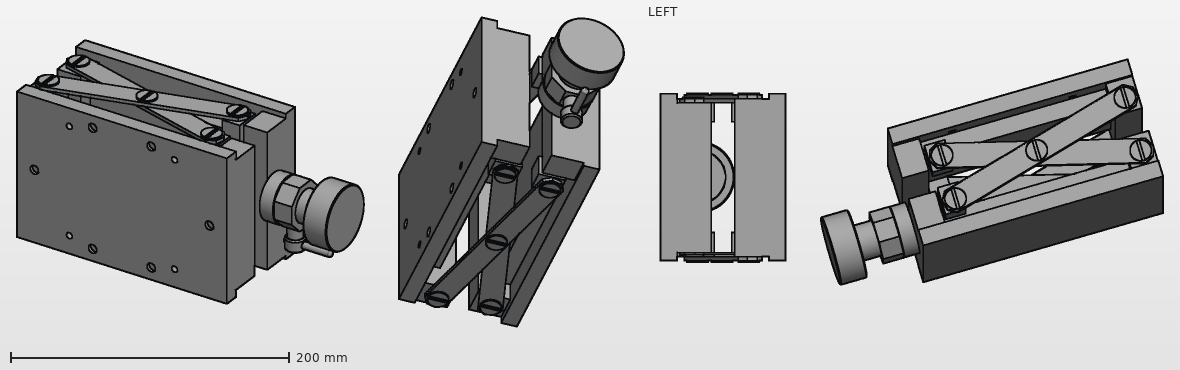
import cadquery as cq
import math


TOTAL_LENGTH = 241.0
TOTAL_WIDTH = 90.0
JAW_LENGTH = 179.8
JAW_HEIGHT = 120.0
JAW_OUTER_Y = TOTAL_WIDTH / 2
FLANGE_THICKNESS = 12.0
CORE_THICKNESS = 24.3
CORE_HALF_HEIGHT = 39.8
END_BLOCK_DEPTH = 36.6
END_BLOCK_LENGTH = 20.0

ARM_HALF_WIDTH = 9.0
ARM_THICKNESS = 3.0
LOWER_INNER_ARM_THICKNESS = 1.7
INNER_ARM_BASE_Z = 53.7
OUTER_ARM_BASE_Z = INNER_ARM_BASE_Z + ARM_THICKNESS
LINKAGE_Z = -0.5
FIXED_PIVOT_X = 10.0
SLIDING_PIVOT_X = 147.7
FRONT_FIXED_PIVOT = (FIXED_PIVOT_X, -18.5)
REAR_FIXED_PIVOT = (FIXED_PIVOT_X, 21.5)
FRONT_ARM_SLIDING_PIVOT = (SLIDING_PIVOT_X, 18.3)
REAR_ARM_SLIDING_PIVOT = (SLIDING_PIVOT_X, -15.7)
CENTRE_PIVOT = (81.7, 0.7)

HEAD_RADIUS = 7.7
HEAD_HEIGHT = 1.2
SLOT_WIDTH = 2.2
SLOT_DEPTH = 0.7

SLIDER_START_X = 142.5
SLIDER_LENGTH = 15.2
SLIDER_INNER_Y = 6.3
SLIDER_DEPTH = 20.5

LARGE_HOLE_DIAMETER = 7.0
SMALL_HOLE_DIAMETER = 4.8
LARGE_HOLE_DEPTH = 3.0
SMALL_HOLE_DEPTH = FLANGE_THICKNESS
END_HOLE_X = 75.0
EDGE_HOLE_X = 25.0
EDGE_HOLE_Z = 50.0
SMALL_HOLE_OFFSET = 45.0

DRIVE_AXIS_Y = 17.0
COLLAR_RADIUS = 19.0
COLLAR_LENGTH = 11.8
COLLAR_CHAMFER = 0.5
OCTAGON_WIDTH = 36.0
OCTAGON_TURN = 360 / 16
OCTAGON_LENGTH = 15.2
SHAFT_RADIUS = 13.3
SHAFT_LENGTH = 14.2
KNOB_RADIUS = 25.3
KNOB_CHAMFER = 0.7
OCTAGON_START_X = JAW_LENGTH + COLLAR_LENGTH
SHAFT_START_X = OCTAGON_START_X + OCTAGON_LENGTH
KNOB_START_X = SHAFT_START_X + SHAFT_LENGTH

POST_X = 198.0
POST_RADIUS = 6.0
LEVER_HEAD_RADIUS = 7.7
LEVER_HEAD_HEIGHT = 10.4
LEVER_HEAD_TOP_Z = -27.7
LEVER_HEAD_CHAMFER = 1.2
LEVER_RADIUS = 3.0
LEVER_START_X = 189.2
LEVER_LENGTH = 40.5
LEVER_Z = LEVER_HEAD_TOP_Z - LEVER_HEAD_HEIGHT / 2
LEVER_END_FILLET = 2.2

LOWER, UPPER = -1, 1
FRONT, REAR = -1, 1


def box(x_range, y_range, z_range):
    """Box between two limits on each axis, given in either order."""
    ranges = [sorted(limits) for limits in (x_range, y_range, z_range)]
    size = [high - low for low, high in ranges]
    corner = tuple(low for low, high in ranges)
    return cq.Workplane("XY").box(*size, centered=False).translate(corner)


def make_jaw_base(side, pivot_block_half_height, drive_block_half_height):
    """Flange, core and two end blocks, each as high as the arms at its end, of the jaw on a Y side."""
    outer_y = side * JAW_OUTER_Y

    def slab(x_range, depth, half_height, mid_z=0):
        y_range = (outer_y, outer_y - side * depth)
        return box(x_range, y_range, (mid_z - half_height, mid_z + half_height))

    full_length = (0, JAW_LENGTH)
    jaw = slab(full_length, FLANGE_THICKNESS, JAW_HEIGHT / 2)
    jaw = jaw.union(slab(full_length, CORE_THICKNESS, CORE_HALF_HEIGHT))
    end_blocks = (
        (0, pivot_block_half_height),
        (JAW_LENGTH - END_BLOCK_LENGTH, drive_block_half_height),
    )
    for start_x, half_height in end_blocks:
        block_range = (start_x, start_x + END_BLOCK_LENGTH)
        jaw = jaw.union(slab(block_range, END_BLOCK_DEPTH, half_height, LINKAGE_Z))
    return jaw


def cut_mounting_holes(jaw):
    """Shallow large holes and small holes as deep as the flange, in the front jaw's outer face."""
    large_points = [(x, 0) for x in (-END_HOLE_X, END_HOLE_X)]
    large_points += [(x, z) for x in (-EDGE_HOLE_X, EDGE_HOLE_X) for z in (-EDGE_HOLE_Z, EDGE_HOLE_Z)]
    offsets = (-SMALL_HOLE_OFFSET, SMALL_HOLE_OFFSET)
    small_points = [(x, z) for x in offsets for z in offsets]
    front_face = cq.Workplane("XZ", origin=(JAW_LENGTH / 2, -JAW_OUTER_Y, 0))
    hole_kinds = (
        (large_points, LARGE_HOLE_DIAMETER, LARGE_HOLE_DEPTH),
        (small_points, SMALL_HOLE_DIAMETER, SMALL_HOLE_DEPTH),
    )
    for points, diameter, depth in hole_kinds:
        jaw = jaw.cut(front_face.pushPoints(points).circle(diameter / 2).extrude(-depth))
    return jaw


def make_arm(start, end, base_z, thickness):
    """Flat bar between two pivots, with each end cut as half a regular octagon."""
    length = math.dist(start, end)
    half_facet = ARM_HALF_WIDTH * math.tan(math.pi / 8)
    half_width = ARM_HALF_WIDTH
    half_profile = [
        (-half_facet, half_width),
        (length + half_facet, half_width),
        (length + half_width, half_facet),
    ]
    profile = [(-half_width, half_facet)] + half_profile
    profile += [(x, -y) for x, y in reversed(profile)]
    angle = math.degrees(math.atan2(end[1] - start[1], end[0] - start[0]))
    arm = cq.Workplane("XY").polyline(profile).close().extrude(thickness)
    return arm.rotate((0, 0, 0), (0, 0, 1), angle).translate((*start, base_z))


def make_screw_head(pivot, base_z):
    """Round screw head with a driver slot along Y."""
    head = cq.Workplane("XY").circle(HEAD_RADIUS).extrude(HEAD_HEIGHT)
    slot = (
        cq.Workplane("XY")
        .workplane(offset=HEAD_HEIGHT - SLOT_DEPTH)
        .rect(SLOT_WIDTH, 2 * HEAD_RADIUS)
        .extrude(SLOT_DEPTH)
    )
    return head.cut(slot).translate((*pivot, base_z))


def make_arm_set(fixed_pivot, sliding_pivot, head_pivots, slider_side, base_z, thickness, level):
    """Arm of one level with its screw heads and its slider block, which rests on the opposite core."""
    arm_set = make_arm(fixed_pivot, sliding_pivot, base_z, thickness)
    for pivot in head_pivots:
        arm_set = arm_set.union(make_screw_head(pivot, base_z + thickness))
    slider = box(
        (SLIDER_START_X, SLIDER_START_X + SLIDER_LENGTH),
        (slider_side * SLIDER_INNER_Y, slider_side * (SLIDER_INNER_Y + SLIDER_DEPTH)),
        (CORE_HALF_HEIGHT - level * LINKAGE_Z, base_z),
    )
    arm_set = arm_set.union(slider)
    if level == LOWER:
        arm_set = arm_set.mirror("XY")
    return arm_set.translate((0, 0, LINKAGE_Z))


def make_front_jaw():
    """Front jaw with the outer arms."""
    jaw = cut_mounting_holes(make_jaw_base(FRONT, OUTER_ARM_BASE_Z, INNER_ARM_BASE_Z))
    head_pivots = (FRONT_FIXED_PIVOT, CENTRE_PIVOT, FRONT_ARM_SLIDING_PIVOT)
    pivots = (FRONT_FIXED_PIVOT, FRONT_ARM_SLIDING_PIVOT)
    for level in (LOWER, UPPER):
        jaw = jaw.union(make_arm_set(*pivots, head_pivots, REAR, OUTER_ARM_BASE_Z, ARM_THICKNESS, level))
    return jaw


def make_rear_jaw():
    """Rear jaw with the inner arms; the lower one is thinner and clears the outer arm."""
    jaw = make_jaw_base(REAR, INNER_ARM_BASE_Z, OUTER_ARM_BASE_Z)
    pivots = (REAR_FIXED_PIVOT, REAR_ARM_SLIDING_PIVOT)
    for level, thickness in ((LOWER, LOWER_INNER_ARM_THICKNESS), (UPPER, ARM_THICKNESS)):
        jaw = jaw.union(make_arm_set(*pivots, pivots, FRONT, INNER_ARM_BASE_Z, thickness, level))
    return jaw


def drive_plane(x):
    """Workplane across the drive axis at the given X, facing +X."""
    return cq.Workplane("YZ", origin=(x, DRIVE_AXIS_Y, 0))


def make_clamp_lever():
    """Post hanging from the octagon, its chamfered head, and the round-ended lever through the head."""
    post = (
        cq.Workplane("XY", origin=(POST_X, DRIVE_AXIS_Y, 0))
        .circle(POST_RADIUS)
        .extrude(LEVER_HEAD_TOP_Z)
    )
    head = (
        cq.Workplane("XY", origin=(POST_X, DRIVE_AXIS_Y, LEVER_HEAD_TOP_Z))
        .circle(LEVER_HEAD_RADIUS)
        .extrude(-LEVER_HEAD_HEIGHT)
        .edges("%CIRCLE")
        .chamfer(LEVER_HEAD_CHAMFER)
    )
    lever = (
        drive_plane(LEVER_START_X)
        .center(0, LEVER_Z)
        .circle(LEVER_RADIUS)
        .extrude(LEVER_LENGTH)
        .edges("%CIRCLE")
        .fillet(LEVER_END_FILLET)
    )
    return post.union(head).union(lever)


def make_clamp_collar():
    """Round collar and octagon on the rear jaw's end, with the clamp lever."""
    collar = drive_plane(JAW_LENGTH).circle(COLLAR_RADIUS).extrude(COLLAR_LENGTH)
    collar = collar.faces(">X").chamfer(COLLAR_CHAMFER)
    octagon_diameter = OCTAGON_WIDTH / math.cos(math.pi / 8)
    octagon = (
        drive_plane(OCTAGON_START_X)
        .transformed(rotate=(0, 0, OCTAGON_TURN))
        .polygon(8, octagon_diameter)
        .extrude(OCTAGON_LENGTH)
    )
    return collar.union(octagon).union(make_clamp_lever())


def make_knob():
    """Knob with its neck, butting against the octagon."""
    neck = drive_plane(SHAFT_START_X).circle(SHAFT_RADIUS).extrude(SHAFT_LENGTH)
    grip = drive_plane(KNOB_START_X).circle(KNOB_RADIUS).extrude(TOTAL_LENGTH - KNOB_START_X)
    grip = grip.edges("%CIRCLE").chamfer(KNOB_CHAMFER)
    return neck.union(grip)


front_jaw = make_front_jaw()
rear_jaw = make_rear_jaw()
clamp_collar = make_clamp_collar()
knob = make_knob()

result = cq.Compound.makeCompound([
    front_jaw.val(),
    rear_jaw.val(),
    clamp_collar.val(),
    knob.val(),
])